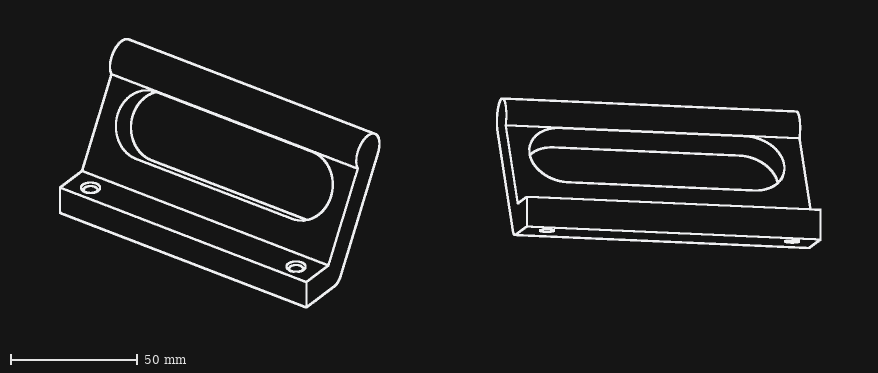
import cadquery as cq
import math

width = 120.0
depth = 50.0
height = 59.0

wall = 12.0
bar_radius = 16.0 / 2
lean = math.radians(29.8)
bend_radius = 5.0

slot_side_margin = 8.0
slot_height = 28.0
slot_base_margin = 12.2

hole_diameter = 5.5
countersink_diameter = 7.5
countersink_angle = 90
hole_edge_margin = 10.0
hole_front_margin = 7.0

bar_y = depth - bar_radius
bar_z = height - bar_radius

arm_y, arm_z = math.sin(lean), math.cos(lean)
rear_y, rear_z = math.cos(lean), -math.sin(lean)

tangent_y = bar_y + bar_radius * rear_y
tangent_z = bar_z + bar_radius * rear_z
heel_y = tangent_y - tangent_z * math.tan(lean)
front_end_y = tangent_y - wall * rear_y
front_end_z = tangent_z - wall * rear_z
inner_corner_y = front_end_y - (front_end_z - wall) * math.tan(lean)


def make_body():
    """Bent plate with a rounded heel, joined to the grip bar."""
    plate = (
        cq.Workplane("YZ", origin=(-width / 2, 0, 0))
        .polyline([
            (0, 0),
            (heel_y, 0),
            (tangent_y, tangent_z),
            (front_end_y, front_end_z),
            (inner_corner_y, wall),
            (0, wall),
        ])
        .close()
        .extrude(width)
    )
    heel = cq.selectors.NearestToPointSelector((0, heel_y, 0))
    plate = plate.edges("|X").edges(heel).fillet(bend_radius)
    bar = (
        cq.Workplane("YZ", origin=(-width / 2, 0, 0))
        .center(bar_y, bar_z)
        .circle(bar_radius)
        .extrude(width)
    )
    return plate.union(bar)


def make_slot():
    """Round-ended cutter running square through the arm."""
    distance_up_arm = slot_base_margin + slot_height / 2
    front_face = cq.Plane(
        origin=(
            0,
            inner_corner_y + distance_up_arm * arm_y,
            wall + distance_up_arm * arm_z,
        ),
        xDir=(1, 0, 0),
        normal=(0, rear_y, rear_z),
    )
    slot_length = width - 2 * slot_side_margin
    return (
        cq.Workplane(front_face)
        .slot2D(slot_length, slot_height)
        .extrude(wall, both=True)
    )


def drill_base(body):
    """Countersunk through holes near both ends of the base."""
    hole_x = width / 2 - hole_edge_margin
    return (
        body.copyWorkplane(cq.Workplane("XY", origin=(0, 0, wall)))
        .pushPoints([(side * hole_x, hole_front_margin) for side in (-1, 1)])
        .cskHole(hole_diameter, countersink_diameter, countersink_angle, depth=wall)
    )


result = drill_base(make_body().cut(make_slot()))